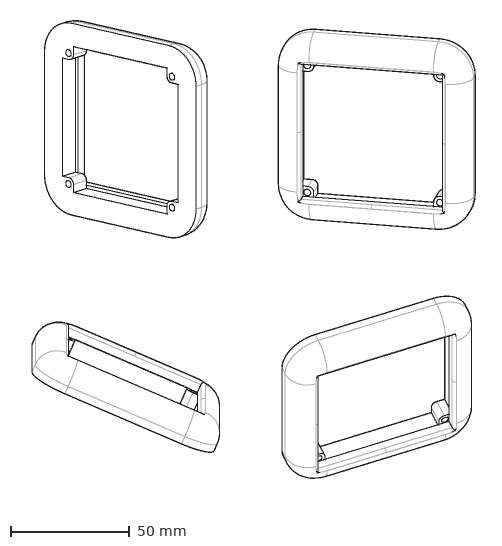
import cadquery as cq

outer_side = 84.0
frame_depth = 13.5
outer_corner_radius = 15.1
back_edge_radius = 10.0

pocket_side = 63.8
pocket_depth = 8.5
window_side = 61.0
window_edge_radius = 1.4

post_size = 6.05
post_corner_radius = 2.5
screw_hole_diameter = 2.9
screw_hole_spacing = 57.3


def square_prism(side, depth):
    """Square block centred on the Y axis, running from Y = 0 to Y = depth."""
    return cq.Workplane("XY").box(side, depth, side).translate((0, depth / 2, 0))


def rounded_body():
    """Solid plate with round corners and a large round along its back edge."""
    plate = square_prism(outer_side, frame_depth)
    plate = plate.edges("|Y").fillet(outer_corner_radius)
    return plate.faces(">Y").edges().fillet(back_edge_radius)


def rounded_window():
    """Cutter for the square window, flared so that its back edge comes out rounded."""
    round_start = frame_depth - window_edge_radius
    flare_side = window_side + 2 * window_edge_radius
    flare = square_prism(flare_side, window_edge_radius).translate((0, round_start, 0))
    rod = (
        cq.Workplane("YZ")
        .center(round_start, flare_side / 2)
        .circle(window_edge_radius)
        .extrude(flare_side, both=True)
    )
    for turn in range(4):
        side_rod = rod.rotate((0, 0, 0), (0, 1, 0), 90 * turn)
        flare = flare.cut(side_rod)
    return square_prism(window_side, frame_depth).union(flare)


def corner_post(x_sign, z_sign):
    """Block in one pocket corner, rounded on the edge facing the window."""
    ledge_width = (pocket_side - window_side) / 2
    block_size = post_size + ledge_width
    center = pocket_side / 2 - post_size + block_size / 2
    inner_edge = ("<X" if x_sign > 0 else ">X", "<Z" if z_sign > 0 else ">Z")
    block = square_prism(block_size, pocket_depth)
    block = block.edges("|Y").edges(inner_edge[0]).edges(inner_edge[1]).fillet(post_corner_radius)
    return block.translate((x_sign * center, 0, z_sign * center))


def screw_hole(x_sign, z_sign):
    """Cylinder for a screw hole through the full depth of the frame."""
    offset = screw_hole_spacing / 2
    hole = cq.Workplane("XZ").circle(screw_hole_diameter / 2).extrude(-frame_depth)
    return hole.translate((x_sign * offset, 0, z_sign * offset))


corners = [(x_sign, z_sign) for x_sign in (-1, 1) for z_sign in (-1, 1)]

result = rounded_body()
result = result.cut(square_prism(pocket_side, pocket_depth))
result = result.cut(rounded_window())
for corner in corners:
    result = result.union(corner_post(*corner))
for corner in corners:
    result = result.cut(screw_hole(*corner))